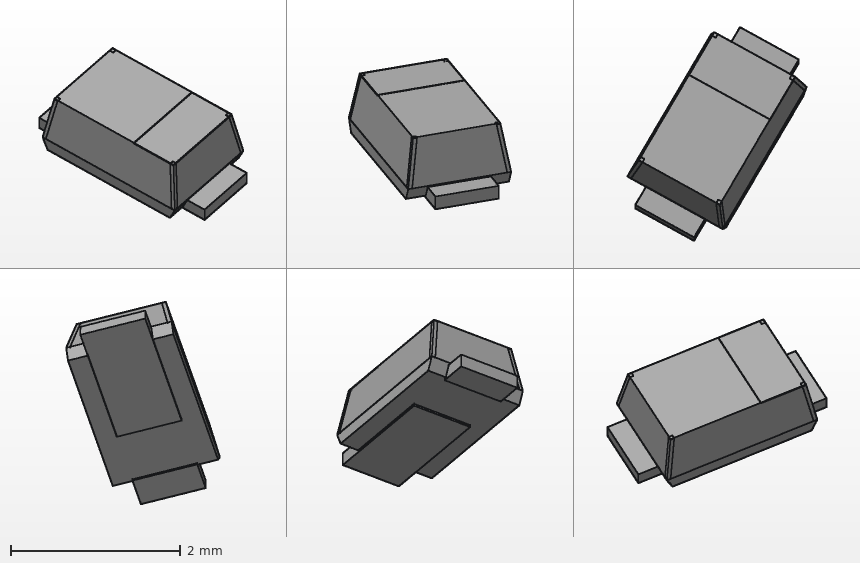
import cadquery as cq

lead_span = 2.5
package_height = 0.81

lead_width = 0.8
lead_thickness = 0.17
short_lead_length = 0.35
long_lead_length = 1.505

mould_length = 2.0
mould_width = 1.3
top_inset = 0.1
mould_bottom = 0.028
parting_height = 0.192
lower_end_inset = 0.075

post_size = 0.05
roof_thickness = 0.01
mark_length = 0.6

top_length = mould_length - 2 * top_inset
top_width = mould_width - 2 * top_inset
roof_underside = package_height - roof_thickness


def block(x_start, length, width, z_start, height):
    """Box starting at x_start and z_start, centred on Y."""
    return (
        cq.Workplane("XY")
        .box(length, width, height, centered=(False, True, False))
        .translate((x_start, 0, z_start))
    )


def make_lead(x_start, length):
    return block(x_start, length, lead_width, 0, lead_thickness)


def make_lower_mould(leads):
    """Lower half, with straight sides, sloping ends and pockets for the leads."""
    half_top = mould_length / 2
    half_bottom = half_top - lower_end_inset
    lower = (
        cq.Workplane("XZ")
        .polyline([
            (-half_bottom, mould_bottom),
            (half_bottom, mould_bottom),
            (half_top, parting_height),
            (-half_top, parting_height),
        ])
        .close()
        .extrude(mould_width / 2, both=True)
    )
    for lead in leads:
        lower = lower.cut(lead)
    return lower


def make_upper_envelope():
    """Tapered outside shape shared by the upper mould, the posts and the mark."""
    return (
        cq.Workplane("XY", origin=(0, 0, parting_height))
        .rect(mould_length, mould_width)
        .workplane(offset=package_height - parting_height)
        .rect(top_length, top_width)
        .loft(ruled=True)
    )


def make_corner_post(x_side, y_side):
    """Post that leans along one corner edge of the taper and stops under the roof."""
    envelope_height = package_height - parting_height
    bottom_offset = (mould_length - post_size) / 2, (mould_width - post_size) / 2
    top_offset = (top_length - post_size) / 2, (top_width - post_size) / 2
    leaning_post = (
        cq.Workplane("XY", origin=(0, 0, parting_height))
        .center(x_side * bottom_offset[0], y_side * bottom_offset[1])
        .rect(post_size, post_size)
        .workplane(offset=envelope_height)
        .center(
            x_side * (top_offset[0] - bottom_offset[0]),
            y_side * (top_offset[1] - bottom_offset[1]),
        )
        .rect(post_size, post_size)
        .loft(ruled=True)
    )
    below_roof = block(-mould_length / 2, mould_length, mould_width, 0, roof_underside)
    return leaning_post.intersect(below_roof)


def make_polarity_mark(envelope):
    """Thin plate set flush into the +X end of the roof."""
    mark_start = top_length / 2 - mark_length
    mark_zone = block(
        mark_start, mould_length / 2 - mark_start, mould_width,
        roof_underside, roof_thickness,
    )
    return envelope.intersect(mark_zone)


def make_upper_mould(envelope, posts, mark):
    upper = envelope.cut(mark)
    for post in posts:
        upper = upper.cut(post)
    return upper


short_lead = make_lead(-lead_span / 2, short_lead_length)
long_lead = make_lead(lead_span / 2 - long_lead_length, long_lead_length)
leads = [short_lead, long_lead]
lower_mould = make_lower_mould(leads)

upper_envelope = make_upper_envelope()
corner_posts = [make_corner_post(x_side, y_side) for x_side in (-1, 1) for y_side in (-1, 1)]
polarity_mark = make_polarity_mark(upper_envelope)
upper_mould = make_upper_mould(upper_envelope, corner_posts, polarity_mark)

result = cq.Compound.makeCompound([
    lower_mould.val(),
    upper_mould.val(),
    polarity_mark.val(),
    *[lead.val() for lead in leads],
    *[post.val() for post in corner_posts],
])